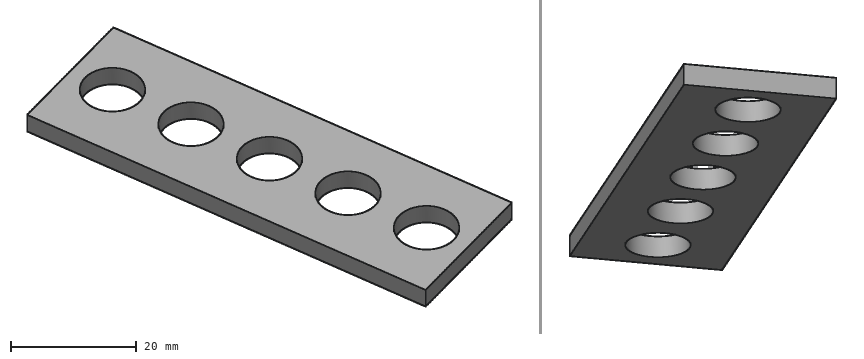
import cadquery as cq

length = 76.0
width = 25.0
thickness = 3.6

hole_count = 5
hole_diameter = 10.4
hole_pitch = 15.0

plate = cq.Workplane("XY").box(length, width, thickness)

result = (
    plate.faces(">Z")
    .workplane()
    .rarray(hole_pitch, 0.75, hole_count, 1)
    .hole(hole_diameter)
)